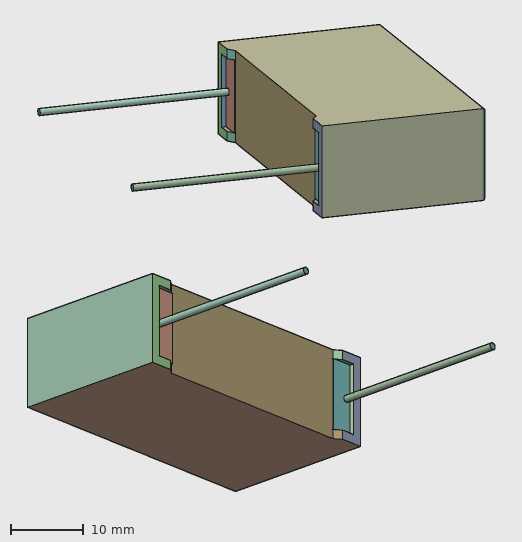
import cadquery as cq

case_width = 41.8
case_length = 24.0
case_height = 13.3
case_wall = 1.4
back_edge_radius = 0.45

foot_width = 3.6
slope_width = 1.1
relief_depth = 0.8

fill_setback = 0.65

overall_length = 51.1
lead_diameter = 1.0
lead_pitch = 37.5

lead_face_y = -case_length / 2
relief_floor_y = lead_face_y + relief_depth
fill_face_y = lead_face_y + fill_setback
bridge_back_y = relief_floor_y + case_wall
cavity_back_y = case_length / 2 - case_wall
cavity_width = case_width - 2 * case_wall
cavity_height = case_height - 2 * case_wall
bridge_width = case_width - 2 * (foot_width + slope_width)
lead_tip_y = case_length / 2 - overall_length


def make_block(width, front_y, back_y, height):
    """Box centred on X and Z that spans front_y to back_y."""
    center_y = (front_y + back_y) / 2
    return cq.Workplane("XY").box(width, back_y - front_y, height).translate((0, center_y, 0))


def make_relief():
    """Trapezoidal cutter that lowers the middle of the lead side."""
    floor_half_width = bridge_width / 2
    mouth_half_width = floor_half_width + slope_width
    return (
        cq.Workplane("XY")
        .moveTo(-mouth_half_width, lead_face_y)
        .lineTo(-floor_half_width, relief_floor_y)
        .lineTo(floor_half_width, relief_floor_y)
        .lineTo(mouth_half_width, lead_face_y)
        .close()
        .extrude(case_height / 2, both=True)
    )


def make_cavity(front_y):
    """Inside of the case from front_y to its back wall, less the middle bridge."""
    inside = make_block(cavity_width, front_y, cavity_back_y, cavity_height)
    bridge = make_block(bridge_width, lead_face_y, bridge_back_y, cavity_height)
    return inside.cut(bridge)


def make_case():
    """Hollow case with a rounded back edge, a relief and a window at each lead."""
    body = make_block(case_width, lead_face_y, case_length / 2, case_height)
    body = body.faces(">Y").edges().fillet(back_edge_radius)
    return body.cut(make_relief()).cut(make_cavity(lead_face_y))


def make_fill():
    """Resin that fills the cavity and shows as a floor in both windows."""
    return make_cavity(fill_face_y)


def make_lead(side):
    """Straight wire that starts on the resin face and points along -Y."""
    return (
        cq.Workplane("XZ", origin=(side * lead_pitch / 2, fill_face_y, 0))
        .circle(lead_diameter / 2)
        .extrude(fill_face_y - lead_tip_y)
    )


case = make_case()
fill = make_fill()
leads = [make_lead(side) for side in (-1, 1)]

result = cq.Compound.makeCompound([case.val(), fill.val(), *[lead.val() for lead in leads]])